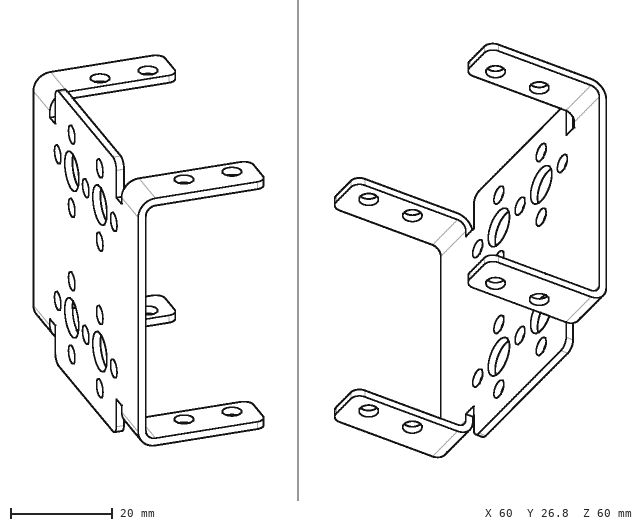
import cadquery as cq

plate_width = 60.0
plate_height = 60.0
depth = 26.8
thickness = 1.6

tab_width = 35.0
notch_width = 3.0
notch_depth = 8.0
corner_radius = 2.0

arm_span = 54.05
bend_outer_radius = 3.6
bend_inner_radius = bend_outer_radius - thickness
arm_width = (plate_width - tab_width) / 2 - notch_width

grid_pitch = 16.0
half_pitch = grid_pitch / 2
large_hole_diameter = 8.0
small_hole_diameter = 3.7

arm_hole_diameter = 3.8
arm_hole_x = 24.0
arm_hole_end_distance = 5.05
arm_hole_spacing = 10.0


def make_channel():
    """U-shaped strip with rounded bends, as wide as the whole plate."""
    outer = (
        cq.Workplane("XY")
        .box(plate_width, depth, arm_span, centered=(True, False, True))
        .faces("<Y")
        .edges("|X")
        .fillet(bend_outer_radius)
    )
    inner = (
        cq.Workplane("XY")
        .box(plate_width, depth, arm_span - 2 * thickness, centered=(True, False, True))
        .faces("<Y")
        .edges("|X")
        .fillet(bend_inner_radius)
        .translate((0, thickness, 0))
    )
    return outer.cut(inner)


def trim_to_arms(channel):
    """Cut away the channel between the arms and round the arm ends."""
    gap_width = plate_width - 2 * arm_width
    gap_center_z = (plate_height - notch_depth) / 2
    for z in (-gap_center_z, gap_center_z):
        gap = (
            cq.Workplane("XY")
            .box(gap_width, depth, notch_depth, centered=(True, False, True))
            .translate((0, 0, z))
        )
        channel = channel.cut(gap)
    return channel.faces(">Y").edges("|Z").fillet(corner_radius)


def make_center_plate():
    """Flat plate between the notches, reaching the full height with rounded corners."""
    return (
        cq.Workplane("XY")
        .box(tab_width, thickness, plate_height, centered=(True, False, True))
        .edges("|Y")
        .fillet(corner_radius)
    )


def plate_holes(points, diameter):
    """Cylinders through the plate at the given (x, z) points."""
    return (
        cq.Workplane("XZ")
        .pushPoints(points)
        .circle(diameter / 2)
        .extrude(-thickness)
    )


def arm_holes():
    """Cylinders through both the upper and lower arms."""
    first_y = depth - arm_hole_end_distance
    points = [
        (x, y)
        for x in (-arm_hole_x, arm_hole_x)
        for y in (first_y, first_y - arm_hole_spacing)
    ]
    return (
        cq.Workplane("XY")
        .pushPoints(points)
        .circle(arm_hole_diameter / 2)
        .extrude(arm_span / 2, both=True)
    )


large_points = [(x, z) for x in (-half_pitch, half_pitch) for z in (-grid_pitch, grid_pitch)]
row_points = [(x, z) for x in (-grid_pitch, 0, grid_pitch) for z in (-grid_pitch, grid_pitch)]
column_points = [(x, z + dz) for x, z in large_points for dz in (-half_pitch, half_pitch)]

result = (
    trim_to_arms(make_channel())
    .union(make_center_plate())
    .cut(plate_holes(large_points, large_hole_diameter))
    .cut(plate_holes(row_points + column_points, small_hole_diameter))
    .cut(arm_holes())
)